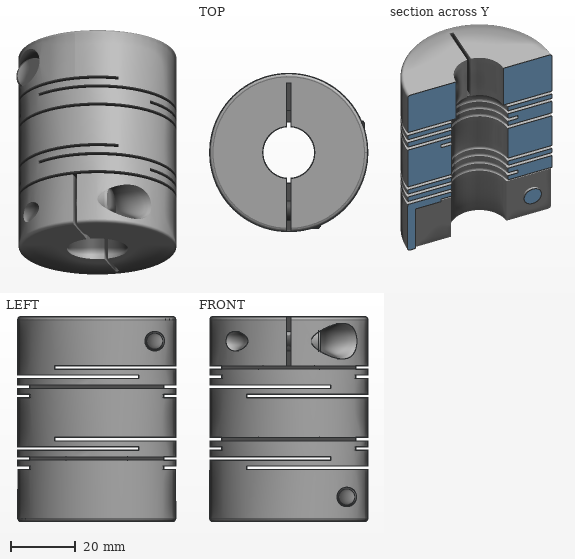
import cadquery as cq

length = 63.5
body_diameter = 49.0
rim_fillet = 1.0
top_bore_diameter = 16.0
lower_bore_diameter = 18.9

upper_hub_height = 15.25
slit_height = 1.0
slit_pitch = 2.9
pair_pitch = 6.0
group_pitch = 22.2
slit_reach = 12.95
pair_opening_angles = [(-90, 90), (180, 0)]

upper_hub_bottom = length - upper_hub_height
lower_hub_height = upper_hub_bottom - group_pitch - pair_pitch - slit_pitch - slit_height

clamp_slot_width = 1.3
clamp_slot_blind_end = 21.6
screw_axis_offset = 18.0
screw_axis_depth = 7.6
screw_diameter = 6.05
screw_tip = -12.05
screw_tip_chamfer = 0.5
head_diameter = 11.05
head_height = 6.0
head_end = 9.85
head_chamfer = 0.65

head_seat = head_end - head_height


def make_body():
    """Round body with a narrow bore in the upper hub and a wider one below it."""
    body = cq.Workplane("XY").circle(body_diameter / 2).extrude(length)
    body = body.faces("<Z or >Z").edges().fillet(rim_fillet)
    top_bore = cq.Workplane("XY").circle(top_bore_diameter / 2).extrude(length)
    lower_bore = cq.Workplane("XY").circle(lower_bore_diameter / 2).extrude(upper_hub_bottom)
    return body.cut(top_bore).cut(lower_bore)


def make_slit(top, opening_angle):
    """Flat cut open toward opening_angle (degrees from +X), stopping at the web opposite."""
    slit = cq.Workplane("XY").box(
        slit_reach + body_diameter, 2 * body_diameter, slit_height, centered=(False, True, False)
    )
    slit = slit.translate((-slit_reach, 0, top - slit_height))
    return slit.rotate((0, 0, 0), (0, 0, 1), opening_angle)


def cut_slits(body):
    """Cut both groups; the slits of a pair open to opposite sides."""
    for group_top in (upper_hub_bottom, upper_hub_bottom - group_pitch):
        for pair, angles in enumerate(pair_opening_angles):
            for position, angle in enumerate(angles):
                top = group_top - pair * pair_pitch - position * slit_pitch
                body = body.cut(make_slit(top, angle))
    return body


def rod_on_screw_axis(diameter, start, end):
    """Round bar along the screw axis of the upper hub, from X = start to X = end."""
    rod = cq.Workplane("YZ").circle(diameter / 2).extrude(end - start)
    return rod.translate((start, -screw_axis_offset, length - screw_axis_depth))


def make_clamp_cuts(hub_height):
    """Slot open toward -Y, screw hole open toward -X and head pocket open toward +X."""
    slot = cq.Workplane("XY").box(
        clamp_slot_width, body_diameter + clamp_slot_blind_end, hub_height, centered=(True, False, False)
    )
    slot = slot.translate((0, -body_diameter, length - hub_height))
    screw_hole = rod_on_screw_axis(screw_diameter, -body_diameter, head_seat)
    head_pocket = rod_on_screw_axis(head_diameter, head_seat, body_diameter)
    return slot.union(screw_hole).union(head_pocket)


def make_clamp_screw():
    """Screw that fills its hole from the tip to the end of the head."""
    shank = rod_on_screw_axis(screw_diameter, screw_tip, head_seat)
    shank = shank.faces("<X").edges().chamfer(screw_tip_chamfer)
    head = rod_on_screw_axis(head_diameter, head_seat, head_end)
    head = head.faces(">X").edges().chamfer(head_chamfer)
    return shank.union(head)


def to_lower_hub(shape):
    """Mirror an upper hub shape to the bottom end and give it a quarter turn about Z."""
    mirrored = shape.mirror("XY", (0, 0, length / 2))
    return mirrored.rotate((0, 0, 0), (0, 0, 1), 90)


result = cut_slits(make_body())
result = result.cut(make_clamp_cuts(upper_hub_height))
result = result.cut(to_lower_hub(make_clamp_cuts(lower_hub_height)))
result = result.union(make_clamp_screw())
result = result.union(to_lower_hub(make_clamp_screw()))